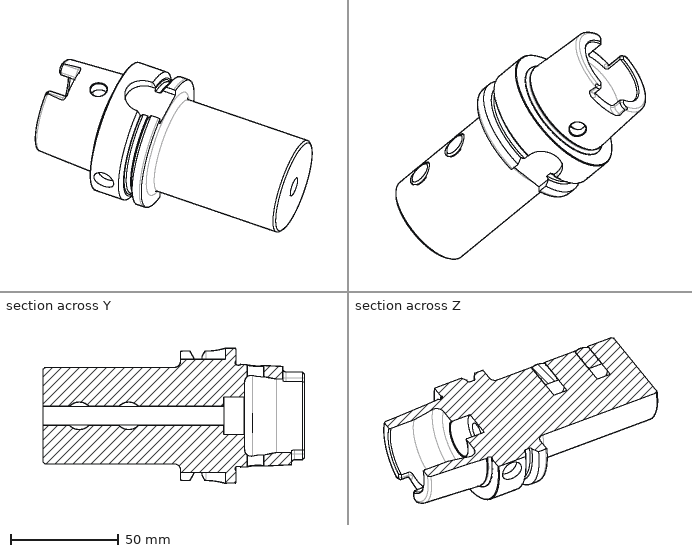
import cadquery as cq
import math

total_length = 121.9
shank_length = 31.9
flange_end = 57.9

taper_end = 29.9
taper_slope = 0.05
taper_large_radius = 24.0
relief_start = 30.5
relief_radius = 23.6
relief_fillet = 1.5
face_recess_radius = relief_radius + relief_fillet
face_recess_depth = 0.5
shank_edge_fillet = 1.2

bore_radius = 17.1
bore_mouth_length = 1.0
bore_mouth_height = 0.4
clamp_cone_start = 13.2
clamp_cone_end = 24.4
chamber_radius = 19.1
chamber_floor_fillet = 3.5
bore_depth = clamp_cone_end + chamber_floor_fillet
thread_radius = 8.7
thread_depth = 9.8
thread_chamfer = 0.4
coolant_radius = 4.4

slot_half_width = 6.2
slot_lip_radius = 2.8
slot_land_height = 20.5
slot_corner_fillet = 1.5
slot_mouth_chamfer = 1.1
upper_slot_depth = 10.1
lower_slot_depth = 6.1

access_x = 22.9
access_radius = 3.8
access_chamfer = 0.4

flange_radius = 31.51
flange_edge_chamfer = 0.4
groove_radius = 27.4
groove_left_top = 46.5
groove_left_wall = 47.9
groove_right_wall = 51.6
groove_right_top = 53.4
groove_fillet = 0.7
groove_half_angle = math.radians(30)
flange_back_chamfer_length = 0.9
flange_back_chamfer_height = 0.2

key_half_width = 9.0
key_start = 36.9
key_floor = 26.5

chip_hole_x = 39.0
chip_hole_radius = 5.0
chip_hole_depth = 4.6

nose_radius = 22.5
nose_fillet = 2.8
nose_chamfer = 1.0

screw_positions = [81.9, 105.0]
screw_radius = 6.3
screw_chamfer = 1.2
screw_bottom = 7.9

shank_reach = taper_large_radius + 1.2
taper_small_radius = taper_large_radius - taper_slope * taper_end


def groove_wall_top(bevel_length):
    """Radius where a sloping groove flank meets the upright wall below it."""
    return flange_radius - bevel_length / math.tan(groove_half_angle)


def turned_body():
    recess_bottom = shank_length + face_recess_depth
    outline = (
        cq.Workplane("XZ")
        .moveTo(0, 0)
        .lineTo(0, taper_small_radius)
        .lineTo(taper_end, taper_large_radius)
        .lineTo(relief_start, relief_radius)
        .lineTo(recess_bottom - relief_fillet, relief_radius)
        .radiusArc((recess_bottom, face_recess_radius), -relief_fillet)
        .lineTo(shank_length, face_recess_radius)
        .lineTo(shank_length, flange_radius - flange_edge_chamfer)
        .lineTo(shank_length + flange_edge_chamfer, flange_radius)
        .lineTo(groove_left_top, flange_radius)
        .lineTo(groove_left_wall, groove_wall_top(groove_left_wall - groove_left_top))
        .lineTo(groove_left_wall, groove_radius + groove_fillet)
        .radiusArc((groove_left_wall + groove_fillet, groove_radius), -groove_fillet)
        .lineTo(groove_right_wall - groove_fillet, groove_radius)
        .radiusArc((groove_right_wall, groove_radius + groove_fillet), -groove_fillet)
        .lineTo(groove_right_wall, groove_wall_top(groove_right_top - groove_right_wall))
        .lineTo(groove_right_top, flange_radius)
        .lineTo(flange_end - flange_back_chamfer_length, flange_radius)
        .lineTo(flange_end, flange_radius - flange_back_chamfer_height)
        .lineTo(flange_end, nose_radius + nose_fillet)
        .radiusArc((flange_end + nose_fillet, nose_radius), -nose_fillet)
        .lineTo(total_length - nose_chamfer, nose_radius)
        .lineTo(total_length, nose_radius - nose_chamfer)
        .lineTo(total_length, 0)
        .close()
    )
    return outline.revolve(360, (0, 0, 0), (1, 0, 0))


def inner_bores():
    thread_end = bore_depth + thread_depth
    outline = (
        cq.Workplane("XZ")
        .moveTo(0, 0)
        .lineTo(0, bore_radius + bore_mouth_height)
        .lineTo(bore_mouth_length, bore_radius)
        .lineTo(clamp_cone_start, bore_radius)
        .lineTo(clamp_cone_end, chamber_radius)
        .radiusArc((bore_depth, chamber_radius - chamber_floor_fillet), chamber_floor_fillet)
        .lineTo(bore_depth, thread_radius + thread_chamfer)
        .lineTo(bore_depth + thread_chamfer, thread_radius)
        .lineTo(thread_end, thread_radius)
        .lineTo(thread_end, coolant_radius)
        .lineTo(total_length, coolant_radius)
        .lineTo(total_length, 0)
        .close()
    )
    return outline.revolve(360, (0, 0, 0), (1, 0, 0))


def drive_slot_outline():
    """Slot above the axis; its walls roll outward over convex lips onto flat lands."""
    lip_start = slot_land_height - slot_lip_radius
    land_start = slot_half_width + slot_lip_radius
    return (
        cq.Workplane("YZ")
        .moveTo(-slot_half_width, 0)
        .lineTo(-slot_half_width, lip_start)
        .radiusArc((-land_start, slot_land_height), -slot_lip_radius)
        .lineTo(-shank_reach, slot_land_height)
        .lineTo(-shank_reach, shank_reach)
        .lineTo(shank_reach, shank_reach)
        .lineTo(shank_reach, slot_land_height)
        .lineTo(land_start, slot_land_height)
        .radiusArc((slot_half_width, lip_start), -slot_lip_radius)
        .lineTo(slot_half_width, 0)
        .close()
    )


def drive_slot(depth):
    inner_end = cq.selectors.BoxSelector(
        (depth - 0.1, 0.1 - shank_reach, 0.1),
        (depth + 0.1, shank_reach - 0.1, shank_reach - 0.1),
    )
    slot = drive_slot_outline().extrude(depth).edges(inner_end).fillet(slot_corner_fillet)
    mouth = (
        drive_slot_outline()
        .offset2D(slot_mouth_chamfer, "intersection")
        .extrude(slot_mouth_chamfer, taper=45)
    )
    return slot.union(mouth)


def access_hole():
    return cq.Workplane("XY", origin=(access_x, 0, -shank_reach)).circle(access_radius).extrude(2 * shank_reach)


def access_rims():
    """Selects the two outer rims of the access hole."""
    near = access_x - access_radius - 0.1
    far = access_x + access_radius + 0.1
    upper = cq.selectors.BoxSelector((near, -access_radius, chamber_radius + 1.2), (far, access_radius, shank_reach))
    lower = cq.selectors.BoxSelector((near, -access_radius, -shank_reach), (far, access_radius, -chamber_radius - 1.2))
    return cq.selectors.SumSelector(upper, lower)


def key_slot():
    slot = (
        cq.Workplane("XY", origin=(0, 0, key_floor))
        .moveTo(key_start + key_half_width, key_half_width)
        .threePointArc((key_start, 0), (key_start + key_half_width, -key_half_width))
        .lineTo(flange_end, -key_half_width)
        .lineTo(flange_end, key_half_width)
        .close()
        .extrude(flange_radius)
    )
    return slot


def chip_hole():
    return (
        cq.Workplane("XZ", origin=(chip_hole_x, chip_hole_depth - flange_radius, 0))
        .circle(chip_hole_radius)
        .extrude(flange_radius)
    )


def below(cutter):
    return cutter.mirror("XY")


def make_screw(x):
    return (
        cq.Workplane("XZ", origin=(x, nose_radius, 0))
        .circle(screw_radius)
        .extrude(nose_radius - screw_bottom)
        .faces(">Y")
        .chamfer(screw_chamfer)
    )


def screw_hole(x):
    return cq.Workplane("XZ", origin=(x, nose_radius, 0)).circle(screw_radius).extrude(nose_radius)


housing = turned_body().faces("<X").edges().fillet(shank_edge_fillet)
housing = housing.cut(drive_slot(upper_slot_depth)).cut(below(drive_slot(lower_slot_depth)))
housing = housing.cut(inner_bores()).cut(access_hole())
housing = housing.edges(access_rims()).chamfer(access_chamfer)
housing = housing.cut(key_slot()).cut(below(key_slot())).cut(chip_hole())
for x in screw_positions:
    housing = housing.cut(screw_hole(x))

screws = [make_screw(x) for x in screw_positions]
result = cq.Compound.makeCompound([housing.val(), *[screw.val() for screw in screws]])